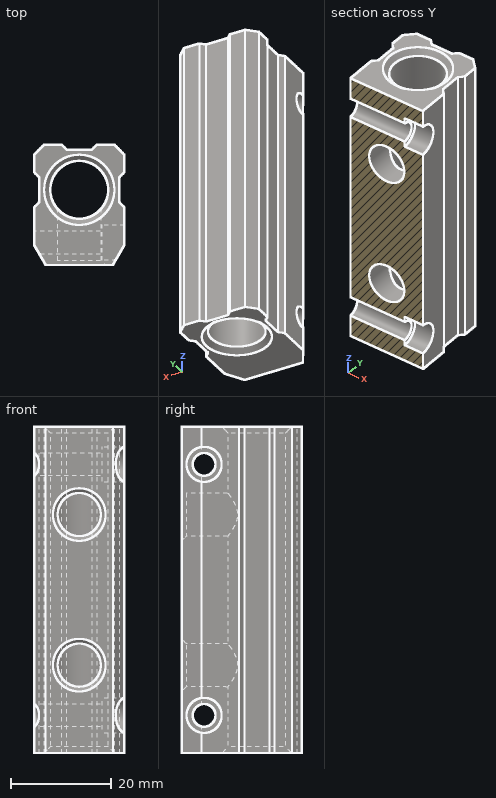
import cadquery as cq
import math

WIDTH = 18.0
DEPTH = 24.0
LENGTH = 65.0
HALF_WIDTH = WIDTH / 2
BACK_Y = 9.0
FRONT_Y = BACK_Y - DEPTH

BACK_BEVEL = 2.0
FRONT_BEVEL_DEPTH = 4.0
FRONT_BEVEL_ANGLE = 30.0
FRONT_BEVEL_WIDTH = FRONT_BEVEL_DEPTH * math.tan(math.radians(FRONT_BEVEL_ANGLE))

GROOVE_OPENING = 7.0
GROOVE_DEPTH = 1.0
GROOVE_FLOOR = GROOVE_OPENING - 2 * GROOVE_DEPTH

BORE_DIAMETER = 11.5
BORE_MOUTH_DIAMETER = 14.0

PORT_DIAMETER = 8.6
PORT_MOUTH_DIAMETER = 10.5
PORT_SPACING = 30.0

MOUNT_DIAMETER = 4.5
MOUNT_HEAD_DIAMETER = 7.0
MOUNT_HEAD_DEPTH = 4.5
MOUNT_FRONT_OFFSET = 4.5
MOUNT_END_OFFSET = 7.5


def make_block():
    """Extrude the octagonal outline along Z."""
    front_half = HALF_WIDTH - FRONT_BEVEL_WIDTH
    back_half = HALF_WIDTH - BACK_BEVEL
    outline = [
        (-front_half, FRONT_Y),
        (front_half, FRONT_Y),
        (HALF_WIDTH, FRONT_Y + FRONT_BEVEL_DEPTH),
        (HALF_WIDTH, BACK_Y - BACK_BEVEL),
        (back_half, BACK_Y),
        (-back_half, BACK_Y),
        (-HALF_WIDTH, BACK_Y - BACK_BEVEL),
        (-HALF_WIDTH, FRONT_Y + FRONT_BEVEL_DEPTH),
    ]
    return cq.Workplane("XY").polyline(outline).close().extrude(LENGTH)


def make_groove(face_distance, turn):
    """Full-length groove in the +Y face at face_distance, turned about Z by turn degrees."""
    outline = [
        (-GROOVE_OPENING / 2, face_distance),
        (-GROOVE_FLOOR / 2, face_distance - GROOVE_DEPTH),
        (GROOVE_FLOOR / 2, face_distance - GROOVE_DEPTH),
        (GROOVE_OPENING / 2, face_distance),
    ]
    groove = cq.Workplane("XY").polyline(outline).close().extrude(LENGTH)
    return groove.rotate((0, 0, 0), (0, 0, 1), turn)


def make_drill(start, direction, diameter, depth):
    """Cylinder running from start along direction."""
    return cq.Workplane(
        cq.Solid.makeCylinder(diameter / 2, depth, cq.Vector(*start), cq.Vector(*direction))
    )


def make_countersink(start, direction, mouth_diameter, diameter):
    """90 degree cone narrowing from mouth_diameter to diameter along direction."""
    mouth_radius = mouth_diameter / 2
    radius = diameter / 2
    depth = mouth_radius - radius
    return cq.Workplane(
        cq.Solid.makeCone(mouth_radius, radius, depth, cq.Vector(*start), cq.Vector(*direction))
    )


def cut_grooves(body):
    body = body.cut(make_groove(BACK_Y, 0))
    for turn in (90, -90):
        body = body.cut(make_groove(HALF_WIDTH, turn))
    return body


def cut_main_bore(body):
    body = body.cut(make_drill((0, 0, 0), (0, 0, 1), BORE_DIAMETER, LENGTH))
    for end_z, inward in ((0, 1), (LENGTH, -1)):
        mouth = make_countersink((0, 0, end_z), (0, 0, inward), BORE_MOUTH_DIAMETER, BORE_DIAMETER)
        body = body.cut(mouth)
    return body


def cut_ports(body):
    for side in (-1, 1):
        start = (0, FRONT_Y, LENGTH / 2 + side * PORT_SPACING / 2)
        body = body.cut(make_drill(start, (0, 1, 0), PORT_DIAMETER, -FRONT_Y))
        body = body.cut(make_countersink(start, (0, 1, 0), PORT_MOUTH_DIAMETER, PORT_DIAMETER))
    return body


def cut_mounting_holes(body):
    hole_y = FRONT_Y + MOUNT_FRONT_OFFSET
    for hole_z in (MOUNT_END_OFFSET, LENGTH - MOUNT_END_OFFSET):
        start = (HALF_WIDTH, hole_y, hole_z)
        body = body.cut(make_drill(start, (-1, 0, 0), MOUNT_DIAMETER, WIDTH))
        body = body.cut(make_drill(start, (-1, 0, 0), MOUNT_HEAD_DIAMETER, MOUNT_HEAD_DEPTH))
    return body


result = make_block()
result = cut_grooves(result)
result = cut_main_bore(result)
result = cut_ports(result)
result = cut_mounting_holes(result)